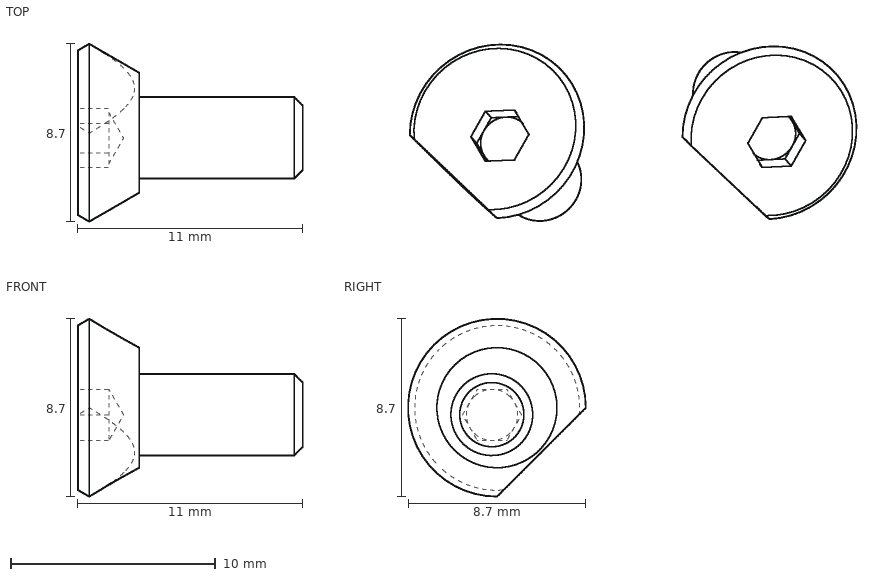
import cadquery as cq
import math

total_length = 11.0
head_height = 3.0

head_diameter = 8.7
rim_position = 0.55
cone_angle = math.radians(30)

shank_diameter = 4.0
tip_chamfer = 0.43
shank_offset_y = -0.25
shank_offset_z = -0.34

socket_across_flats = 2.5
socket_depth = 1.5
socket_sides = 6
socket_cone_angle = math.radians(30)

flat_direction_degrees = -45
segment_half_angle = math.radians(45)

head_radius = head_diameter / 2
flat_distance = head_radius * math.cos(segment_half_angle)


def make_head():
    """Double cone along X, with the flat cut on its +Y, -Z side."""
    front_radius = head_radius - rim_position * math.tan(cone_angle)
    back_radius = head_radius - (head_height - rim_position) * math.tan(cone_angle)
    head = (
        cq.Workplane("XY")
        .moveTo(0, 0)
        .lineTo(0, front_radius)
        .lineTo(rim_position, head_radius)
        .lineTo(head_height, back_radius)
        .lineTo(head_height, 0)
        .close()
        .revolve(360, (0, 0, 0), (1, 0, 0))
    )
    segment = (
        cq.Workplane("XY")
        .box(head_height, head_diameter, head_diameter, centered=(False, False, True))
        .translate((0, flat_distance, 0))
        .rotate((0, 0, 0), (1, 0, 0), flat_direction_degrees)
    )
    return head.cut(segment)


def shank_plane(x):
    """Plane facing +X, centred on the shank axis."""
    return cq.Workplane("YZ", origin=(x, shank_offset_y, shank_offset_z))


def make_shank():
    """Cylinder along X with a chamfered free end."""
    return (
        shank_plane(head_height)
        .circle(shank_diameter / 2)
        .extrude(total_length - head_height)
        .faces(">X")
        .chamfer(tip_chamfer)
    )


def make_socket():
    """Hexagonal prism with two corners along Y, ending in a cone on its inscribed circle."""
    inscribed_radius = socket_across_flats / 2
    across_corners = socket_across_flats / math.cos(math.pi / socket_sides)
    cone_depth = inscribed_radius * math.tan(socket_cone_angle)
    hexagon = shank_plane(0).polygon(socket_sides, across_corners).extrude(socket_depth)
    cone = cq.Workplane(
        cq.Solid.makeCone(
            inscribed_radius,
            0,
            cone_depth,
            pnt=cq.Vector(socket_depth, shank_offset_y, shank_offset_z),
            dir=cq.Vector(1, 0, 0),
        )
    )
    return hexagon.union(cone)


result = make_head().union(make_shank()).cut(make_socket())